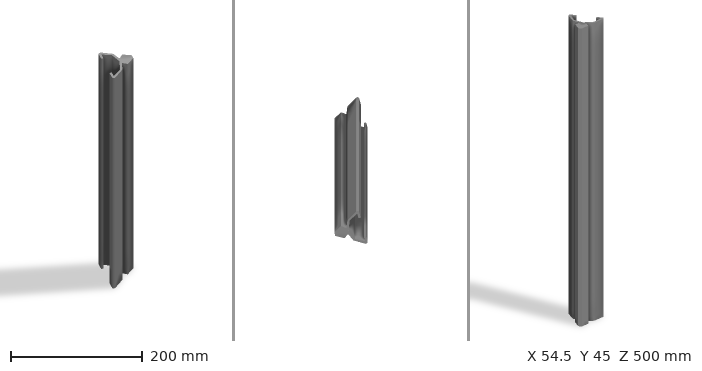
import cadquery as cq

length = 500.0
width = 54.5
height = 45.0
half_width = width / 2

tip_half_width = 3.0
head_half_width = 10.25
head_widest_y = 32.5
neck_half_width = 5.0
neck_y = 25.5

outer_knee_x = 17.0
outer_knee_y = 20.5
inner_knee_x = 15.5
inner_knee_y = 17.5
inner_apex_y = 23.0

groove_half_width = 0.5
groove_depth = 0.5

foot_top_y = 3.5
foot_inner_x = 15.5
leg_inner_x = 23.0
heel_radius = 2.5
heel_top_y = 4.0


def half_profile():
    """Closed outline of the half at positive X, bounded by the symmetry plane."""
    return (
        cq.Workplane("XY")
        .moveTo(0, inner_apex_y + groove_depth)
        .lineTo(groove_half_width, inner_apex_y)
        .lineTo(inner_knee_x, inner_knee_y)
        .lineTo(leg_inner_x, foot_top_y)
        .lineTo(foot_inner_x, foot_top_y)
        .lineTo(foot_inner_x, 0)
        .lineTo(half_width - heel_radius, 0)
        .radiusArc((half_width, heel_radius), -heel_radius)
        .lineTo(half_width, heel_top_y)
        .lineTo(outer_knee_x, outer_knee_y)
        .lineTo(neck_half_width, neck_y)
        .lineTo(head_half_width, head_widest_y)
        .lineTo(tip_half_width, height)
        .lineTo(0, height)
        .close()
    )


half = half_profile().extrude(length)
result = half.union(half.mirror("YZ")).clean()